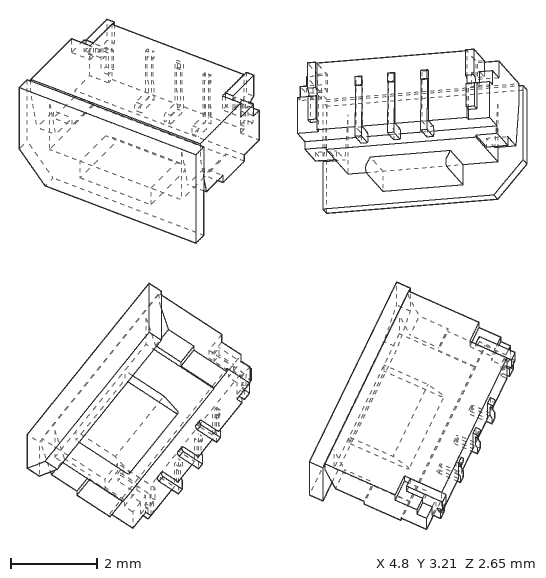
import cadquery as cq
import math


PLATE_WIDTH = 4.8
PLATE_THICKNESS = 0.35
PLATE_HEIGHT = 2.6
PLATE_CORNER_X = 0.7
PLATE_CORNER_Z = 0.795

HOOK_WIDTH = 1.92
HOOK_BOTTOM = 0.305
HOOK_TIP_Y = 1.875
HOOK_SLOPE = 40.0
HOOK_TIP_RADIUS = 0.1

HOUSING_WIDTH = 4.61
CORE_WIDTH = 3.59
HOUSING_TOP = 2.65
CORE_BOTTOM = PLATE_CORNER_Z
CORE_REAR_Y = 3.095
REAR_BOTTOM = 1.025
FOOT_REAR_Y = 2.295
FLANK_REAR_Y = 2.945
LOW_STEP_Y = 2.7
LOW_STEP_Z = 1.9
HIGH_STEP_Y = 2.145
HIGH_STEP_Z = 2.24
FLANK_FOOT_Y = 1.35
FLANK_FOOT_Z = 0.845
FLANK_FRONT_BOTTOM = 1.055
SLANT_LOW_Y = 0.625
SLANT_TOP_Z = 2.225

BRACKET_THICKNESS = 0.2
BRACKET_TOP = 2.635
BRACKET_BOTTOM = 1.265
REAR_Y = 3.21
RELIEVED_REAR_Y = 3.165
NOTCH_CORNER_Z = 2.015
NOTCH_CENTER_Y = 3.155
NOTCH_CENTER_Z = 1.915
NOTCH_RADIUS = 0.08

CONTACT_WIDTH = 0.155
CONTACT_PITCH = 0.795
CONTACT_TOP = HIGH_STEP_Z
HEAD_RADIUS = 0.055
HEAD_BOTTOM = NOTCH_CORNER_Z
TAIL_BOTTOM = 0.78
TAIL_TIP_Y = 2.605
TAIL_TIP_BULGE = 0.055
RELIEF_SLOPE_LOW_Z = 1.245
RELIEF_SLOPE_HIGH_Z = 1.39
SET_FORWARD = 0.06
CONTACT_PLACES = [(-1, 0.0), (0, 0.0), (1, SET_FORWARD)]


def slab(outline, x_start, width):
    """Extrude a closed YZ outline along +X from x_start."""
    return outline.close().extrude(width).translate((x_start, 0, 0))


def side_outline(y, z):
    """Start an outline in the YZ plane."""
    return cq.Workplane("YZ").moveTo(y, z)


def make_face_plate():
    half_width = PLATE_WIDTH / 2
    plate = (
        cq.Workplane("XZ")
        .polyline([
            (-half_width, PLATE_HEIGHT),
            (-half_width, PLATE_CORNER_Z),
            (-half_width + PLATE_CORNER_X, 0),
            (half_width, 0),
            (half_width, PLATE_HEIGHT),
        ])
        .close()
        .extrude(-PLATE_THICKNESS)
    )
    return plate.union(make_hook())


def make_hook():
    tip_center_y = HOOK_TIP_Y - HOOK_TIP_RADIUS
    tip_center_z = HOOK_BOTTOM + HOOK_TIP_RADIUS
    slope = math.radians(HOOK_SLOPE)
    slope_start_y = tip_center_y + HOOK_TIP_RADIUS * math.sin(slope)
    slope_start_z = tip_center_z + HOOK_TIP_RADIUS * math.cos(slope)
    slope_end_y = slope_start_y - (CORE_BOTTOM - slope_start_z) / math.tan(slope)
    outline = (
        side_outline(PLATE_THICKNESS, HOOK_BOTTOM)
        .lineTo(tip_center_y, HOOK_BOTTOM)
        .threePointArc((HOOK_TIP_Y, tip_center_z), (slope_start_y, slope_start_z))
        .lineTo(slope_end_y, CORE_BOTTOM)
        .lineTo(PLATE_THICKNESS, CORE_BOTTOM)
    )
    return slab(outline, -HOOK_WIDTH / 2, HOOK_WIDTH)


def make_housing():
    core_outline = cq.Workplane("YZ").polyline([
        (PLATE_THICKNESS, HOUSING_TOP),
        (CORE_REAR_Y, HOUSING_TOP),
        (CORE_REAR_Y, REAR_BOTTOM),
        (FOOT_REAR_Y, REAR_BOTTOM),
        (FOOT_REAR_Y, CORE_BOTTOM),
        (PLATE_THICKNESS, CORE_BOTTOM),
    ])
    housing = slab(core_outline, -CORE_WIDTH / 2, CORE_WIDTH)

    flank_thickness = (HOUSING_WIDTH - CORE_WIDTH) / 2
    for flank_start in (-HOUSING_WIDTH / 2, CORE_WIDTH / 2):
        housing = housing.union(make_flank(flank_start, flank_thickness))

    for column, forward in CONTACT_PLACES:
        if forward > 0:
            housing = housing.cut(make_contact_slot(column, forward))
    return housing


def make_flank(x_start, thickness):
    outline = cq.Workplane("YZ").polyline([
        (PLATE_THICKNESS, HOUSING_TOP),
        (HIGH_STEP_Y, HOUSING_TOP),
        (HIGH_STEP_Y, HIGH_STEP_Z),
        (LOW_STEP_Y, HIGH_STEP_Z),
        (LOW_STEP_Y, LOW_STEP_Z),
        (FLANK_REAR_Y, LOW_STEP_Z),
        (FLANK_REAR_Y, REAR_BOTTOM),
        (FOOT_REAR_Y, REAR_BOTTOM),
        (FOOT_REAR_Y, FLANK_FOOT_Z),
        (FLANK_FOOT_Y, FLANK_FOOT_Z),
        (FLANK_FOOT_Y, FLANK_FRONT_BOTTOM),
        (SLANT_LOW_Y, FLANK_FRONT_BOTTOM),
        (PLATE_THICKNESS, SLANT_TOP_Z),
    ])
    return slab(outline, x_start, thickness)


def make_contact_slot(column, forward):
    """Recess in the rear of the core for a contact that is set forward."""
    outline = cq.Workplane("YZ").polyline([
        (CORE_REAR_Y - forward, REAR_BOTTOM),
        (CORE_REAR_Y, REAR_BOTTOM),
        (CORE_REAR_Y, CONTACT_TOP),
        (CORE_REAR_Y - forward, CONTACT_TOP),
    ])
    return slab(outline, column * CONTACT_PITCH - CONTACT_WIDTH / 2, CONTACT_WIDTH)


def make_bracket(x_start):
    notch_reach_y = RELIEVED_REAR_Y - NOTCH_CENTER_Y
    notch_low_z = NOTCH_CENTER_Z - math.sqrt(NOTCH_RADIUS**2 - notch_reach_y**2)
    outline = (
        side_outline(FOOT_REAR_Y, BRACKET_TOP)
        .lineTo(REAR_Y, BRACKET_TOP)
        .lineTo(REAR_Y, NOTCH_CORNER_Z)
        .lineTo(NOTCH_CENTER_Y, NOTCH_CENTER_Z + NOTCH_RADIUS)
        .threePointArc(
            (NOTCH_CENTER_Y - NOTCH_RADIUS, NOTCH_CENTER_Z),
            (RELIEVED_REAR_Y, notch_low_z),
        )
        .lineTo(RELIEVED_REAR_Y, BRACKET_BOTTOM)
        .lineTo(FLANK_REAR_Y, BRACKET_BOTTOM)
        .lineTo(FLANK_REAR_Y, LOW_STEP_Z)
        .lineTo(LOW_STEP_Y, LOW_STEP_Z)
        .lineTo(LOW_STEP_Y, HIGH_STEP_Z)
        .lineTo(FOOT_REAR_Y, HIGH_STEP_Z)
    )
    return slab(outline, x_start, BRACKET_THICKNESS)


def make_contact(column, forward):
    tail_corner_y = TAIL_TIP_Y + TAIL_TIP_BULGE
    tail_middle_z = (TAIL_BOTTOM + REAR_BOTTOM) / 2
    outline = (
        side_outline(CORE_REAR_Y, CONTACT_TOP)
        .lineTo(REAR_Y - HEAD_RADIUS, CONTACT_TOP)
        .tangentArcPoint((REAR_Y, CONTACT_TOP - HEAD_RADIUS), relative=False)
        .lineTo(REAR_Y, HEAD_BOTTOM)
        .lineTo(RELIEVED_REAR_Y, HEAD_BOTTOM)
        .lineTo(RELIEVED_REAR_Y, RELIEF_SLOPE_HIGH_Z)
        .lineTo(REAR_Y, RELIEF_SLOPE_LOW_Z)
        .lineTo(REAR_Y, TAIL_BOTTOM)
        .lineTo(tail_corner_y, TAIL_BOTTOM)
        .threePointArc((TAIL_TIP_Y, tail_middle_z), (tail_corner_y, REAR_BOTTOM))
        .lineTo(CORE_REAR_Y, REAR_BOTTOM)
    )
    contact = slab(outline, column * CONTACT_PITCH - CONTACT_WIDTH / 2, CONTACT_WIDTH)
    return contact.translate((0, -forward, 0))


face_plate = make_face_plate()
housing = make_housing()
bracket_starts = (-CORE_WIDTH / 2 - BRACKET_THICKNESS, CORE_WIDTH / 2)
brackets = [make_bracket(x_start) for x_start in bracket_starts]
contacts = [make_contact(column, forward) for column, forward in CONTACT_PLACES]

result = cq.Compound.makeCompound([
    face_plate.val(),
    housing.val(),
    *[bracket.val() for bracket in brackets],
    *[contact.val() for contact in contacts],
])